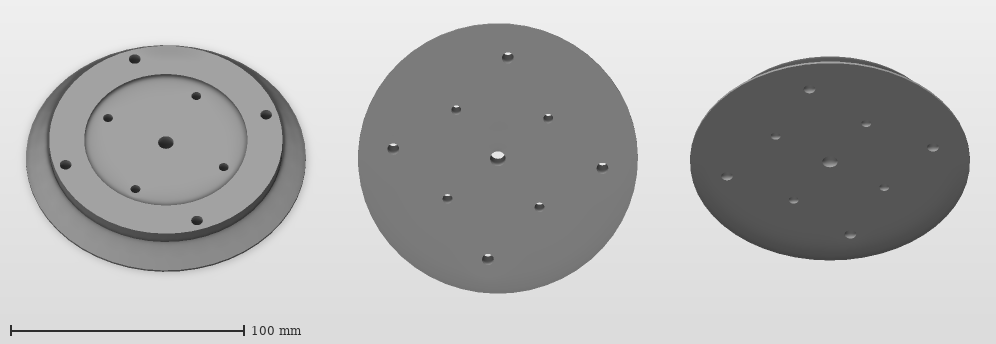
import cadquery as cq
import math

rim_radius = 60.0
rim_height = 1.0
top_radius = 50.0
skirt_top_z = 8.0
total_height = 14.0

recess_radius = 35.0
recess_depth = 2.0
recess_fillet = 1.0

center_hole_diameter = 6.65
inner_hole_diameter = 4.2
inner_circle_radius = 28.0
outer_hole_diameter = 5.0
outer_circle_radius = 45.0
outer_start_angle = 45.0
holes_per_circle = 4


def make_body():
    """Revolve the half section of the disc about Z."""
    return (
        cq.Workplane("XZ")
        .moveTo(0, 0)
        .lineTo(rim_radius, 0)
        .lineTo(rim_radius, rim_height)
        .lineTo(top_radius, skirt_top_z)
        .lineTo(top_radius, total_height)
        .lineTo(0, total_height)
        .close()
        .revolve(360, (0, 0, 0), (0, 1, 0))
    )


def make_recess():
    """Shallow cylinder with a rounded bottom edge, to be cut from the top face."""
    floor_z = total_height - recess_depth
    return (
        cq.Workplane("XY", origin=(0, 0, floor_z))
        .circle(recess_radius)
        .extrude(recess_depth)
        .faces("<Z")
        .edges()
        .fillet(recess_fillet)
    )


def make_holes(diameter, points):
    """Full-height cylinders at the given XY points."""
    return cq.Workplane("XY").pushPoints(points).circle(diameter / 2).extrude(total_height)


def circle_points(radius, start_angle):
    """Evenly spaced hole centers around the Z axis."""
    angles = [
        math.radians(start_angle + index * 360 / holes_per_circle)
        for index in range(holes_per_circle)
    ]
    return [(radius * math.cos(angle), radius * math.sin(angle)) for angle in angles]


result = (
    make_body()
    .cut(make_recess())
    .cut(make_holes(center_hole_diameter, [(0, 0)]))
    .cut(make_holes(inner_hole_diameter, circle_points(inner_circle_radius, 0)))
    .cut(make_holes(outer_hole_diameter, circle_points(outer_circle_radius, outer_start_angle)))
)